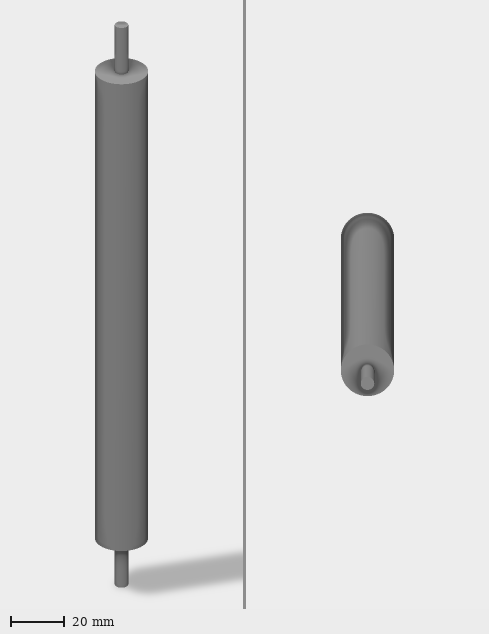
import cadquery as cq

total_length = 240.0
shaft_end_length = 20.0
body_diameter = 20.0
shaft_diameter = 5.0

body_length = total_length - 2 * shaft_end_length


def centred_cylinder(diameter, length):
    """Cylinder along Z, centred on the origin."""
    return cq.Workplane("XY").cylinder(length, diameter / 2)


body = centred_cylinder(body_diameter, body_length)
shaft = centred_cylinder(shaft_diameter, total_length)

result = body.union(shaft)